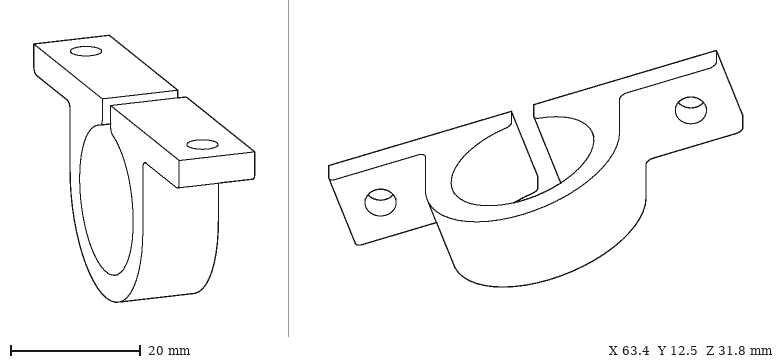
import cadquery as cq

length = 63.35
width = 12.5
height = 31.75

outer_radius = height / 2
bore_radius = 11.65
ring_center_z = 0.0
top_z = ring_center_z + height - outer_radius
gap_width = 3.6

flange_thickness = 4.75
flange_z = top_z - flange_thickness
hole_diameter = 4.8
hole_spacing = 50.7

edge_radius = 1.2


def edges_along_y(x, z):
    """Select the pair of edges parallel to Y at +/-x and height z."""
    tolerance = 0.05

    def box_around(side_x):
        low_corner = (side_x - tolerance, -width, z - tolerance)
        high_corner = (side_x + tolerance, width, z + tolerance)
        return cq.selectors.BoxSelector(low_corner, high_corner)

    parallel_to_y = cq.selectors.ParallelDirSelector(cq.Vector(0, 1, 0))
    return parallel_to_y & (box_around(-x) + box_around(x))


def make_body():
    """Flange bar above a U-shaped block, bored and split at the top."""
    bar = cq.Workplane("XY").box(length, width, flange_thickness, centered=(True, True, False))
    bar = bar.translate((0, 0, flange_z))
    flanks = cq.Workplane("XY").box(
        2 * outer_radius, width, top_z - ring_center_z, centered=(True, True, False)
    )
    flanks = flanks.translate((0, 0, ring_center_z))
    ring_plane = cq.Workplane("XZ", origin=(0, width / 2, ring_center_z))
    ring = ring_plane.circle(outer_radius).extrude(width)
    bore = ring_plane.circle(bore_radius).extrude(width)
    gap = cq.Workplane("XY").box(gap_width, width, top_z, centered=(True, True, False))
    return bar.union(flanks).union(ring).cut(bore).cut(gap)


def round_edges(body):
    """Round the flange ends, the flange roots and the lips of the gap."""
    lip_z = ring_center_z + (bore_radius**2 - (gap_width / 2) ** 2) ** 0.5
    body = body.edges(edges_along_y(length / 2, flange_z)).fillet(edge_radius)
    body = body.edges(edges_along_y(outer_radius, flange_z)).fillet(edge_radius)
    return body.edges(edges_along_y(gap_width / 2, lip_z)).fillet(edge_radius)


def drill_flanges(body):
    """Drill one vertical screw hole through each flange."""
    hole_points = [(-hole_spacing / 2, 0), (hole_spacing / 2, 0)]
    holes = cq.Workplane("XY").pushPoints(hole_points).circle(hole_diameter / 2).extrude(top_z)
    return body.cut(holes)


result = drill_flanges(round_edges(make_body()))